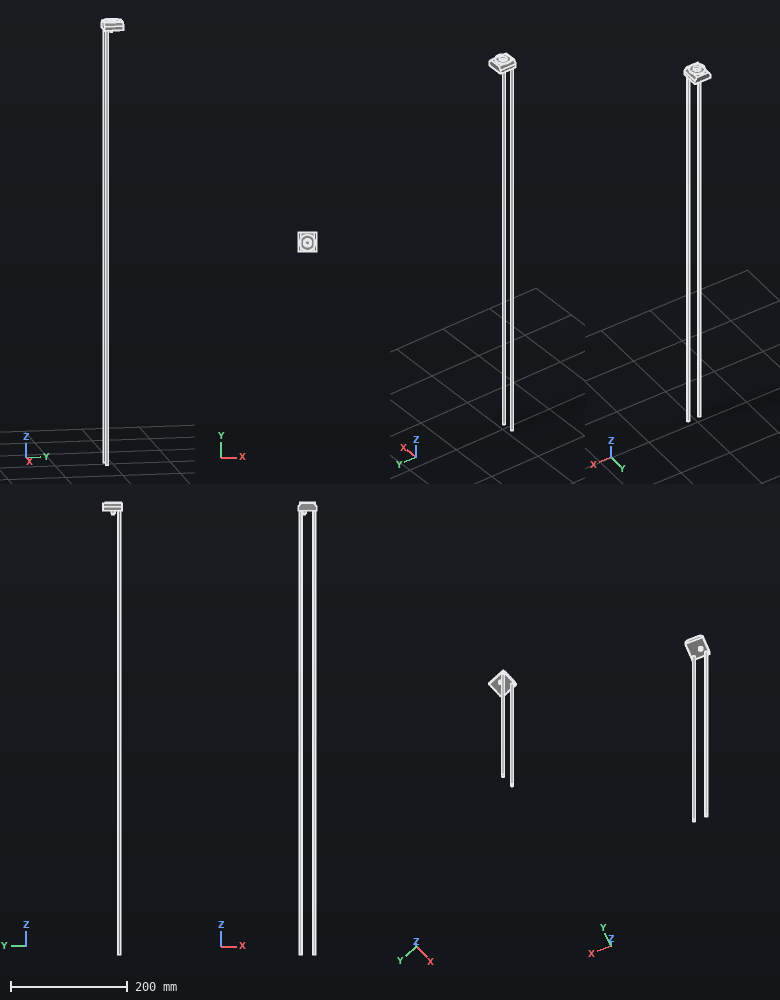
import cadquery as cq

width = 32.51
depth = 33.02
total_height = 776.05

housing_height = 15.24
base_height = 7.25
lean_per_height = 0.75
disc_thickness = 1.66
block_height = housing_height - disc_thickness
top_width = width - 2 * lean_per_height * (block_height - base_height)

disc_diameter = 27.33
disc_y = -1.35
recess_diameter = 13.29
recess_depth = 5.95
post_diameter = 8.13
post_height = 3.22

stub_x = -5.37
stub_y = -1.0
stub_diameter = 6.6
stub_length = 4.22
tip_diameter = 3.75
tip_length = 2.49

wire_diameter = 4.76
wire_length = total_height - housing_height
wire_spacing = 22.76
wire_y = -11.78


def make_cylinder(diameter, length, x, y, bottom):
    """Vertical cylinder that rises from the given bottom height."""
    return cq.Workplane("XY", origin=(x, y, bottom)).circle(diameter / 2).extrude(length)


def make_block():
    """Block with leaning X sides and flat Y ends; its underside is at Z = 0."""
    half_width = width / 2
    half_top = top_width / 2
    return (
        cq.Workplane("XZ", origin=(0, depth / 2, 0))
        .moveTo(-half_width, 0)
        .lineTo(half_width, 0)
        .lineTo(half_width, base_height)
        .lineTo(half_top, block_height)
        .lineTo(-half_top, block_height)
        .lineTo(-half_width, base_height)
        .close()
        .extrude(depth)
    )


def make_stub():
    """Round stub below the block, ending in a thinner tip."""
    stub = make_cylinder(stub_diameter, stub_length, stub_x, stub_y, -stub_length)
    tip = make_cylinder(tip_diameter, tip_length, stub_x, stub_y, -stub_length - tip_length)
    return stub.union(tip)


def make_housing():
    recess_floor = housing_height - recess_depth
    disc = make_cylinder(disc_diameter, disc_thickness, 0, disc_y, block_height)
    recess = make_cylinder(recess_diameter, recess_depth, 0, disc_y, recess_floor)
    post = make_cylinder(post_diameter, post_height, 0, disc_y, recess_floor)
    return make_block().union(disc).cut(recess).union(post).union(make_stub())


def make_wire(x):
    return make_cylinder(wire_diameter, wire_length, x, wire_y, -wire_length)


housing = make_housing()
wires = [make_wire(side * wire_spacing / 2) for side in (-1, 1)]
result = cq.Compound.makeCompound([housing.val(), *[wire.val() for wire in wires]])